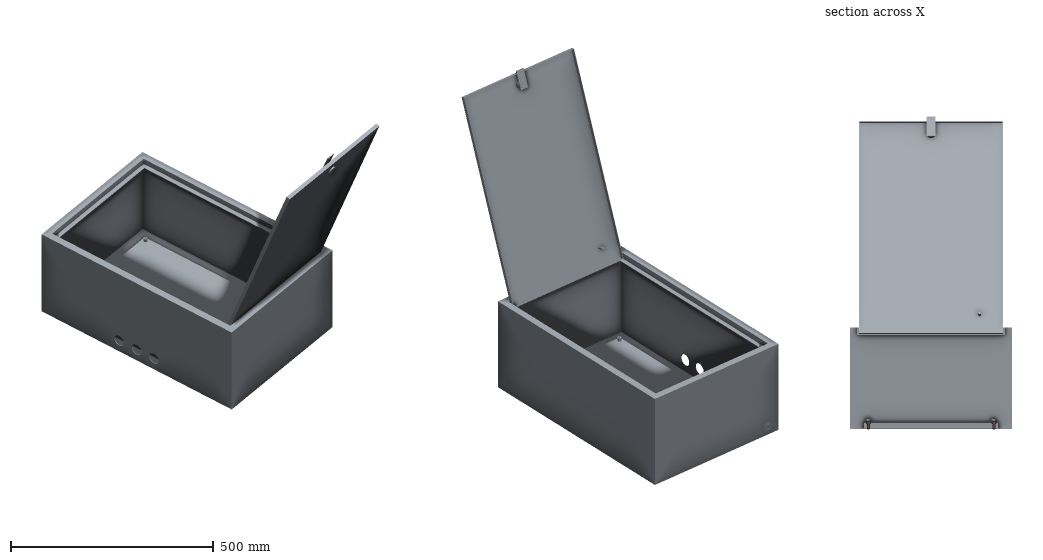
import cadquery as cq
import math

LENGTH = 600.0
WIDTH = 400.0
HEIGHT = 250.0
WALL = 1.5
RIM_WIDTH = 18.5
RECESS_DEPTH = 16.0
LIP_WIDTH = 11.5
LIP_INSET = RIM_WIDTH + LIP_WIDTH
LIP_TOP = HEIGHT - RECESS_DEPTH

HOLE_DIAMETER = 31.0
HOLE_PITCH = 55.0
HOLE_COUNT = 3
HOLE_MIDDLE_X = LENGTH / 2
HOLE_Z = 35.0

BOSS_FLANGE_DIAMETER = 28.0
BOSS_FLANGE_HEIGHT = 1.0
BOSS_HEIGHT = 2.5
BOSS_HEX_ACROSS_CORNERS = 20.0
BOSS_HOLE_DIAMETER = 7.0
BOSS_Y = 35.0
BOSS_Z = 22.0

PLATE_INSET = 35.0
PLATE_TOP = 15.0
PLATE_SHEET = 1.5
SCREW_INSET = 45.0
SCREW_DIAMETER = 6.0
SCREW_HEAD_DIAMETER = 10.0
SCREW_HEAD_HEIGHT = 9.0
SOCKET_ACROSS_CORNERS = 6.0
SOCKET_DEPTH = 4.0

DOOR_ANGLE = 70.0
DOOR_GAP = 3.5
DOOR_INSET = RIM_WIDTH + DOOR_GAP
DOOR_LENGTH = LENGTH - 2 * DOOR_INSET
DOOR_WIDTH = WIDTH - 2 * DOOR_INSET
DOOR_DEPTH = 10.0
DOOR_SHEET = 1.0
DOOR_REACH_X = 765.5
DOOR_FOOT_X = DOOR_REACH_X - DOOR_LENGTH * math.cos(math.radians(DOOR_ANGLE))

STUD_ALONG = 50.0
STUD_ACROSS = 58.0
STUD_DIAMETER = 7.0
STUD_LENGTH = 18.0

LOCK_ALONG = 526.0
LOCK_ACROSS = DOOR_WIDTH / 2
LOCK_DIAMETER = 21.0
LOCK_INNER_END = 19.0
LOCK_OUTER_END = -4.0
CAM_WIDTH = 23.0
CAM_THICKNESS = 2.5
CAM_BASE = 15.5
CAM_TAIL = 11.0
CAM_REACH = 39.58


def box(x0, x1, y0, y1, z0, z1):
    """Block between two opposite corners."""
    return cq.Workplane("XY").box(x1 - x0, y1 - y0, z1 - z0, centered=False).translate((x0, y0, z0))


def inset_box(inset, z0, z1):
    """Block whose sides lie a set distance inside the housing outline."""
    return box(inset, LENGTH - inset, inset, WIDTH - inset, z0, z1)


def post(diameter, z0, z1):
    """Upright cylinder on the Z axis."""
    return cq.Workplane("XY").workplane(offset=z0).circle(diameter / 2).extrude(z1 - z0)


def screw_places():
    return [
        (x, y)
        for x in (SCREW_INSET, LENGTH - SCREW_INSET)
        for y in (SCREW_INSET, WIDTH - SCREW_INSET)
    ]


def make_shell():
    """Box whose top edge folds inwards, down into the door recess and inwards again as a lip."""
    shell = inset_box(0, 0, HEIGHT)
    below_lip = inset_box(WALL, WALL, LIP_TOP - WALL)
    opening = inset_box(LIP_INSET, WALL, HEIGHT)
    recess = inset_box(RIM_WIDTH, LIP_TOP, HEIGHT)
    recess_sides = inset_box(RIM_WIDTH - WALL, 0, HEIGHT)
    behind_recess = inset_box(WALL, LIP_TOP - WALL, HEIGHT - WALL).cut(recess_sides)
    return shell.cut(below_lip).cut(opening).cut(recess).cut(behind_recess)


def make_cable_holes():
    first_x = HOLE_MIDDLE_X - (HOLE_COUNT - 1) / 2 * HOLE_PITCH
    places = [(first_x + i * HOLE_PITCH, HOLE_Z) for i in range(HOLE_COUNT)]
    return cq.Workplane("XZ").pushPoints(places).circle(HOLE_DIAMETER / 2).extrude(-WALL)


def make_boss():
    face = cq.Workplane("YZ").center(BOSS_Y, BOSS_Z)
    flange = face.circle(BOSS_FLANGE_DIAMETER / 2).extrude(-BOSS_FLANGE_HEIGHT)
    hexagon = face.polygon(6, BOSS_HEX_ACROSS_CORNERS).extrude(-BOSS_HEIGHT)
    hole = face.circle(BOSS_HOLE_DIAMETER / 2).extrude(-BOSS_HEIGHT)
    return flange.union(hexagon).cut(hole)


def make_housing():
    return make_shell().cut(make_cable_holes()).union(make_boss())


def make_mounting_plate():
    plate = inset_box(PLATE_INSET, WALL, PLATE_TOP)
    plate = plate.cut(inset_box(PLATE_INSET + PLATE_SHEET, WALL, PLATE_TOP - PLATE_SHEET))
    screw_hole = post(SCREW_DIAMETER, WALL, PLATE_TOP)
    for x, y in screw_places():
        plate = plate.cut(screw_hole.translate((x, y, 0)))
    return plate


def make_screw(x, y):
    head_top = PLATE_TOP + SCREW_HEAD_HEIGHT
    screw = post(SCREW_DIAMETER, WALL, PLATE_TOP).union(post(SCREW_HEAD_DIAMETER, PLATE_TOP, head_top))
    socket = (
        cq.Workplane("XY")
        .workplane(offset=head_top - SOCKET_DEPTH)
        .polygon(6, SOCKET_ACROSS_CORNERS)
        .extrude(SOCKET_DEPTH)
    )
    return screw.cut(socket).translate((x, y, 0))


def swing_open(closed):
    """Tilt a part drawn flat (X along the door, Z out of its inner face) to the open position."""
    tilted = closed.rotate((0, 0, 0), (0, 1, 0), -DOOR_ANGLE)
    return tilted.translate((DOOR_FOOT_X, DOOR_INSET, LIP_TOP))


def make_door():
    tray = box(0, DOOR_LENGTH, 0, DOOR_WIDTH, 0, DOOR_DEPTH)
    hollow = box(
        DOOR_SHEET, DOOR_LENGTH - DOOR_SHEET,
        DOOR_SHEET, DOOR_WIDTH - DOOR_SHEET,
        DOOR_SHEET, DOOR_DEPTH,
    )
    stud = post(STUD_DIAMETER, 0, STUD_LENGTH).translate((STUD_ALONG, STUD_ACROSS, 0))
    lock_hole = post(LOCK_DIAMETER, 0, DOOR_SHEET).translate((LOCK_ALONG, LOCK_ACROSS, 0))
    return swing_open(tray.cut(hollow).union(stud).cut(lock_hole))


def make_lock():
    barrel = post(LOCK_DIAMETER, LOCK_OUTER_END, LOCK_INNER_END)
    cam = box(-CAM_TAIL, CAM_REACH, -CAM_WIDTH / 2, CAM_WIDTH / 2, CAM_BASE, CAM_BASE + CAM_THICKNESS)
    return swing_open(barrel.union(cam).translate((LOCK_ALONG, LOCK_ACROSS, 0)))


housing = make_housing()
mounting_plate = make_mounting_plate()
door = make_door()
lock = make_lock()
screws = [make_screw(x, y) for x, y in screw_places()]

result = cq.Compound.makeCompound(
    [housing.val(), mounting_plate.val(), door.val(), lock.val()] + [screw.val() for screw in screws]
)